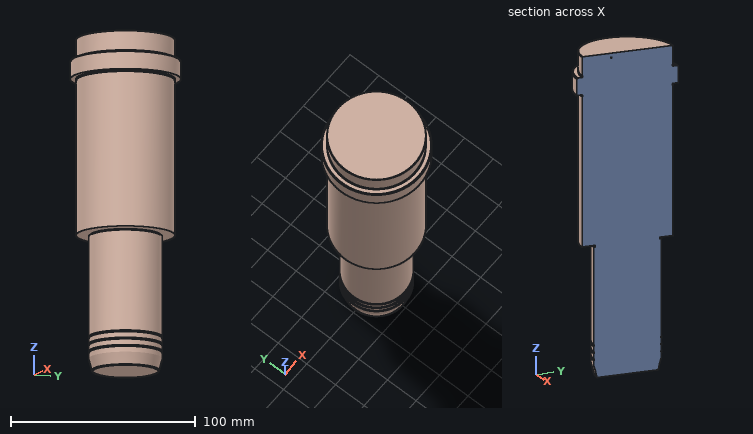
import cadquery as cq

total_height = 183.0
body_diameter = 53.8
flange_diameter = 60.0
spigot_diameter = 40.0

body_bottom = 75.0
flange_bottom = 161.2
flange_top = 171.3
spigot_top = 74.3
taper_height = 7.0
groove_centers = (10.5, 14.5, 18.5)

groove_height = 1.0
groove_depth = 0.4
relief_height = 1.0
relief_depth = 0.4
neck_diameter = 38.2
flange_chamfer = 0.5
tip_diameter = 36.6
tip_chamfer = 0.5
rim_chamfer = 0.27


def cylinder(diameter, bottom, top):
    return cq.Workplane("XY").workplane(offset=bottom).circle(diameter / 2).extrude(top - bottom)


def ring_groove(diameter, depth, bottom, height):
    """Ring that cuts a V-shaped groove into a cylinder of the given diameter."""
    radius = diameter / 2
    return (
        cq.Workplane("XZ")
        .moveTo(radius, bottom)
        .lineTo(radius - depth, bottom + height / 2)
        .lineTo(radius, bottom + height)
        .lineTo(radius + depth, bottom + height)
        .lineTo(radius + depth, bottom)
        .close()
        .revolve(360, (0, 0, 0), (0, 1, 0))
    )


def make_spigot():
    """Lower shaft with a tapered, chamfered tip and three grooves."""
    radius = spigot_diameter / 2
    tip_radius = tip_diameter / 2
    spigot = (
        cq.Workplane("XZ")
        .moveTo(0, 0)
        .lineTo(tip_radius - tip_chamfer, 0)
        .lineTo(tip_radius, tip_chamfer)
        .lineTo(radius, taper_height)
        .lineTo(radius, spigot_top)
        .lineTo(0, spigot_top)
        .close()
        .revolve(360, (0, 0, 0), (0, 1, 0))
    )
    for center in groove_centers:
        bottom = center - groove_height / 2
        spigot = spigot.cut(ring_groove(spigot_diameter, groove_depth, bottom, groove_height))
    return spigot


def make_body():
    """Upper cylinder with a chamfered top rim and a relief groove on each side of the flange."""
    body = cylinder(body_diameter, body_bottom, total_height).faces(">Z").edges().chamfer(rim_chamfer)
    for bottom in (flange_bottom - relief_height, flange_top):
        body = body.cut(ring_groove(body_diameter, relief_depth, bottom, relief_height))
    return body


flange = cylinder(flange_diameter, flange_bottom, flange_top).faces(">Z").edges().chamfer(flange_chamfer)
neck = cylinder(neck_diameter, spigot_top, body_bottom)

result = make_spigot().union(neck).union(make_body()).union(flange)